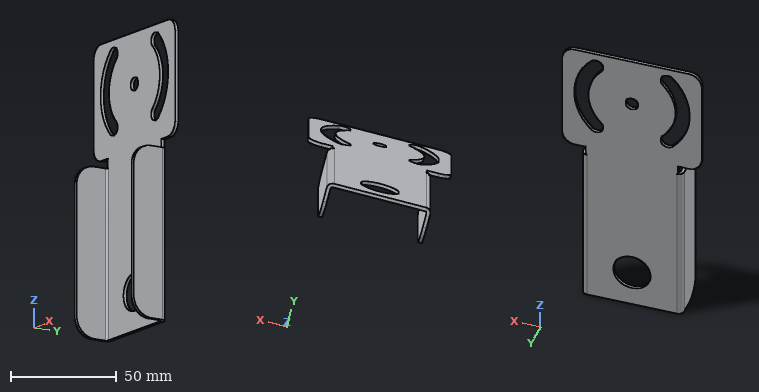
import cadquery as cq
import math

sheet = 1.9
bend_inner_radius = 0.95
bend_outer_radius = bend_inner_radius + sheet

total_height = 146.05
head_width = 69.9
head_height = 57.15
head_corner_radius = 6.35
head_bottom = total_height - head_height

pivot_z = total_height - 25.4
pivot_diameter = 6.35
slot_mean_radius = 25.4
slot_width = 7.1
slot_half_angle = math.radians(45)

channel_width = 50.8
channel_depth = 19.0
channel_height = 84.2
flange_corner_radius = 9.6
neck_width = 46.2
cable_hole_diameter = 18.65
cable_hole_z = 19.05


def plate(width, bottom, top):
    """Flat sheet with its back face on Y = 0, centred on X."""
    height = top - bottom
    return (
        cq.Workplane("XY")
        .box(width, sheet, height, centered=(True, False, False))
        .translate((0, -sheet, bottom))
    )


def make_head():
    head = plate(head_width, head_bottom, total_height)
    return head.edges("|Y").fillet(head_corner_radius)


def make_channel():
    """U section with bent corners, opening toward -Y, with rounded flange ends."""
    outer = (
        cq.Workplane("XY")
        .box(channel_width, channel_depth, channel_height, centered=(True, False, False))
        .translate((0, -channel_depth, 0))
        .edges("|Z and >Y")
        .fillet(bend_outer_radius)
    )
    inner_depth = channel_depth - sheet
    inner = (
        cq.Workplane("XY")
        .box(channel_width - 2 * sheet, inner_depth, channel_height, centered=(True, False, False))
        .translate((0, -channel_depth, 0))
        .edges("|Z and >Y")
        .fillet(bend_inner_radius)
    )
    channel = outer.cut(inner)
    return channel.edges("|X and <Y").fillet(flange_corner_radius)


def round_hole(diameter, z):
    return cq.Workplane("XZ").center(0, z).circle(diameter / 2).extrude(sheet)


def arc_slot(side):
    """Cutter for one curved slot; side is -1 for -X and +1 for +X."""

    def polar(radius, angle):
        return (side * radius * math.cos(angle), radius * math.sin(angle))

    inner = slot_mean_radius - slot_width / 2
    outer = slot_mean_radius + slot_width / 2
    end_x, end_z = polar(slot_mean_radius, slot_half_angle)
    tip_x = end_x - side * slot_width / 2 * math.sin(slot_half_angle)
    tip_z = end_z + slot_width / 2 * math.cos(slot_half_angle)
    return (
        cq.Workplane("XZ")
        .center(0, pivot_z)
        .moveTo(*polar(outer, -slot_half_angle))
        .threePointArc(polar(outer, 0), polar(outer, slot_half_angle))
        .threePointArc((tip_x, tip_z), polar(inner, slot_half_angle))
        .threePointArc(polar(inner, 0), polar(inner, -slot_half_angle))
        .threePointArc((tip_x, -tip_z), polar(outer, -slot_half_angle))
        .close()
        .extrude(sheet)
    )


neck = plate(neck_width, channel_height, head_bottom)
result = make_channel().union(neck).union(make_head())
result = result.cut(round_hole(pivot_diameter, pivot_z))
result = result.cut(round_hole(cable_hole_diameter, cable_hole_z))
for side in (-1, 1):
    result = result.cut(arc_slot(side))